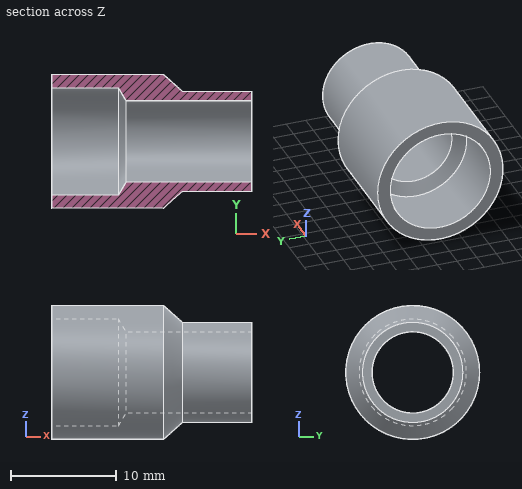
import cadquery as cq

total_length = 19.05
outer_taper_start = 10.65
outer_taper_length = 1.8
bore_taper_start = 6.35
bore_taper_length = 0.74

large_outer_diameter = 12.75
large_bore_diameter = 10.16
small_outer_diameter = 9.53
small_bore_diameter = 7.7


def stepped_round(large_diameter, small_diameter, taper_start, taper_length):
    """Solid of revolution about X: large cylinder, cone, small cylinder."""
    large_radius = large_diameter / 2
    small_radius = small_diameter / 2
    profile = (
        cq.Workplane("XY")
        .moveTo(0, 0)
        .lineTo(0, large_radius)
        .lineTo(taper_start, large_radius)
        .lineTo(taper_start + taper_length, small_radius)
        .lineTo(total_length, small_radius)
        .lineTo(total_length, 0)
        .close()
    )
    return profile.revolve(360, (0, 0, 0), (1, 0, 0))


outside = stepped_round(
    large_outer_diameter, small_outer_diameter, outer_taper_start, outer_taper_length
)
bore = stepped_round(
    large_bore_diameter, small_bore_diameter, bore_taper_start, bore_taper_length
)

result = outside.cut(bore)